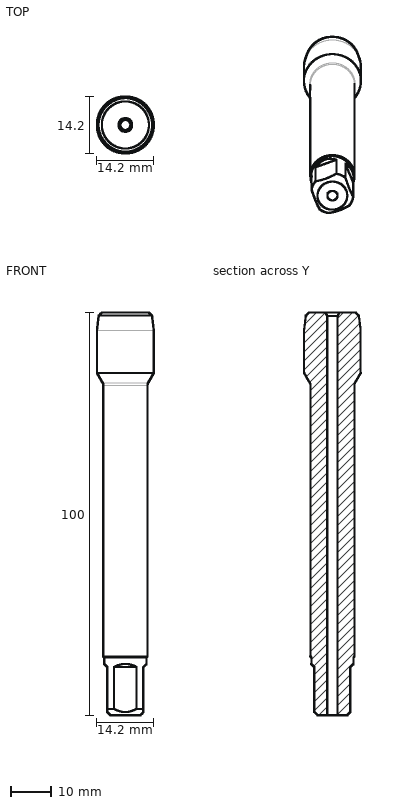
import cadquery as cq
import math

length = 100.0

head_diameter = 14.19
head_bottom_z = 85.0
head_top_z = 95.5
nose_diameter = 13.3
top_face_diameter = 11.7
top_chamfer_height = 0.8
neck_cone_angle = 30.0
neck_fillet_radius = 1.2

shaft_diameter = 11.0
shaft_bottom_z = 14.4
drive_diameter = 10.56
shaft_edge_chamfer = (shaft_diameter - drive_diameter) / 2
drive_tip_diameter = 7.4
drive_tip_height = 1.6
square_sides = 4
square_width = 9.0
square_top_z = 12.0
runout_angle = 45.0

bore_diameter = 2.5
countersink_diameter = 3.4
countersink_depth = 0.9


def turned_body():
    """Solid of revolution: drive end at Z = 0, head at the top."""
    shaft_radius = shaft_diameter / 2
    drive_radius = drive_diameter / 2
    head_radius = head_diameter / 2

    cone_angle = math.radians(neck_cone_angle)
    corner_z = head_bottom_z - (head_radius - shaft_radius) / math.tan(cone_angle)
    tangent_length = neck_fillet_radius * math.tan(cone_angle / 2)
    fillet_bottom = (shaft_radius, corner_z - tangent_length)
    fillet_middle = (
        shaft_radius + neck_fillet_radius * (1 - math.cos(cone_angle / 2)),
        fillet_bottom[1] + neck_fillet_radius * math.sin(cone_angle / 2),
    )
    fillet_top = (
        shaft_radius + tangent_length * math.sin(cone_angle),
        corner_z + tangent_length * math.cos(cone_angle),
    )

    outline = (
        cq.Workplane("XZ")
        .lineTo(drive_tip_diameter / 2, 0)
        .lineTo(drive_radius, drive_tip_height)
        .lineTo(drive_radius, shaft_bottom_z)
        .lineTo(shaft_radius, shaft_bottom_z + shaft_edge_chamfer)
        .lineTo(*fillet_bottom)
        .threePointArc(fillet_middle, fillet_top)
        .lineTo(head_radius, head_bottom_z)
        .lineTo(head_radius, head_top_z)
        .lineTo(nose_diameter / 2, length - top_chamfer_height)
        .lineTo(top_face_diameter / 2, length)
        .lineTo(0, length)
        .close()
    )
    return outline.revolve(360, (0, 0), (0, 1))


def flat_cutter():
    """Material removed beside one flat of the square, on the +X side, with a sloped runout on top."""
    flat_x = square_width / 2
    outer_x = drive_diameter
    runout_height = (outer_x - flat_x) * math.tan(math.radians(runout_angle))
    profile = [
        (flat_x, 0),
        (outer_x, 0),
        (outer_x, square_top_z + runout_height),
        (flat_x, square_top_z),
    ]
    return cq.Workplane("XZ").polyline(profile).close().extrude(drive_diameter / 2, both=True)


def bore_cutter():
    """Through bore with a conical countersink in the head face."""
    profile = [
        (0, 0),
        (bore_diameter / 2, 0),
        (bore_diameter / 2, length - countersink_depth),
        (countersink_diameter / 2, length),
        (0, length),
    ]
    return cq.Workplane("XZ").polyline(profile).close().revolve(360, (0, 0), (0, 1))


result = turned_body()
for side in range(square_sides):
    side_angle = side * 360 / square_sides
    result = result.cut(flat_cutter().rotate((0, 0, 0), (0, 0, 1), side_angle))
result = result.cut(bore_cutter())